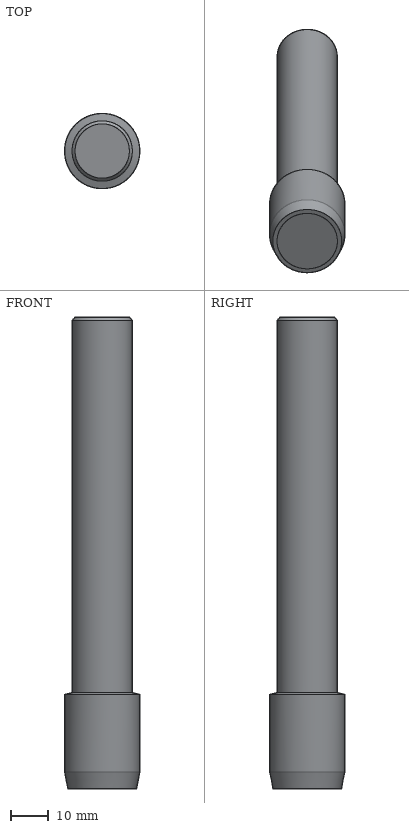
import cadquery as cq

total_length = 125.0
sleeve_diameter = 20.0
pin_diameter = 16.0
pin_chamfer = 0.8

nose_height = 4.5
nose_end_radius = 9.1
shoulder_height = 25.0
cone_rise = 0.5

sleeve_radius = sleeve_diameter / 2
pin_radius = pin_diameter / 2


def make_pin():
    """Full-length round pin with a chamfered upper end."""
    pin = cq.Workplane("XY").circle(pin_radius).extrude(total_length)
    return pin.faces(">Z").chamfer(pin_chamfer)


def make_sleeve():
    """Revolved sleeve around the lower end of the pin, bored to the pin diameter."""
    return (
        cq.Workplane("XZ")
        .moveTo(pin_radius, 0)
        .lineTo(nose_end_radius, 0)
        .lineTo(sleeve_radius, nose_height)
        .lineTo(sleeve_radius, shoulder_height)
        .lineTo(pin_radius, shoulder_height + cone_rise)
        .close()
        .revolve(360, (0, 0, 0), (0, 1, 0))
    )


pin = make_pin()
sleeve = make_sleeve()
result = cq.Compound.makeCompound([pin.val(), sleeve.val()])